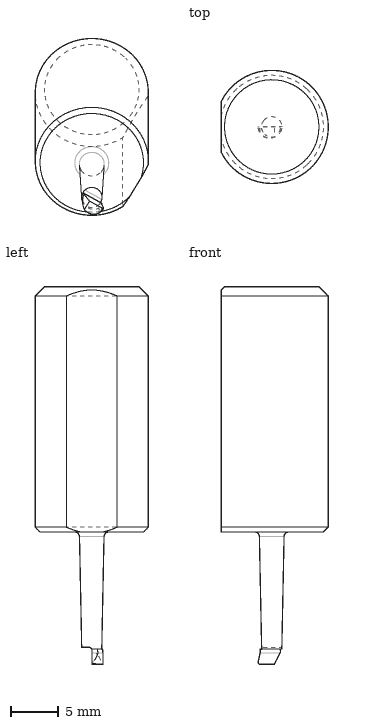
import cadquery as cq

total_length = 40.0
shank_radius = 6.0
shank_bottom = 14.0
flat_distance = 5.35
top_chamfer = 1.0
bottom_chamfer = 0.5

neck_top_radius = 1.3
neck_bottom_radius = 1.1
neck_fillet = 0.5

seat_height = 1.8
seat_fillet = 0.3
joint_height = 1.6

tip_radius = 1.2
tip_center_x = -0.25
tip_shoulder = 1.2
tip_top_radius = 1.15
tip_left = tip_center_x - tip_radius
corner_chamfer = 0.1
relief_start = 0.3
relief_depth = 0.2
tip_bottom_right = 0.3


def make_shank():
    length = total_length - shank_bottom
    shank = cq.Workplane("XY").workplane(offset=shank_bottom).circle(shank_radius).extrude(length)
    shank = shank.faces(">Z").chamfer(top_chamfer)
    shank = shank.faces("<Z").chamfer(bottom_chamfer)
    flat_cutter = cq.Workplane("XY").box(
        shank_radius, 2 * shank_radius, total_length, centered=(False, True, False)
    )
    return shank.cut(flat_cutter.translate((-flat_distance - shank_radius, 0, 0)))


def make_neck():
    fillet_end = shank_bottom - neck_fillet
    diagonal = neck_fillet * 0.5 ** 0.5
    arc_center_radius = neck_top_radius + neck_fillet
    return (
        cq.Workplane("XZ")
        .moveTo(0, joint_height)
        .lineTo(neck_bottom_radius, joint_height)
        .lineTo(neck_top_radius, fillet_end)
        .threePointArc(
            (arc_center_radius - diagonal, fillet_end + diagonal),
            (arc_center_radius, shank_bottom),
        )
        .lineTo(0, shank_bottom)
        .close()
        .revolve(360, (0, 0, 0), (0, 1, 0))
    )


def make_seat_cutter():
    width = 2 * neck_top_radius
    cutter = cq.Workplane("XY").box(width, width, seat_height, centered=(True, False, False))
    return cutter.edges("|X and >Z and <Y").fillet(seat_fillet)


def make_holder():
    return make_shank().union(make_neck().cut(make_seat_cutter()))


def make_tip():
    blank = (
        cq.Workplane("XZ", origin=(tip_center_x, 0, 0))
        .polyline([
            (0, 0),
            (tip_radius, 0),
            (tip_radius, tip_shoulder),
            (tip_top_radius, joint_height),
            (0, joint_height),
        ])
        .close()
        .revolve(360, (0, 0, 0), (0, 1, 0))
    )
    outline = (
        cq.Workplane("XZ")
        .polyline([
            (tip_left + corner_chamfer, 0),
            (tip_left, corner_chamfer),
            (tip_left, relief_start),
            (tip_left + relief_depth, tip_shoulder),
            (tip_left + relief_depth, joint_height),
            (neck_bottom_radius, joint_height),
            (tip_bottom_right, 0),
        ])
        .close()
        .extrude(tip_radius)
    )
    return blank.intersect(outline)


holder = make_holder()
tip = make_tip()
result = cq.Compound.makeCompound([holder.val(), tip.val()])